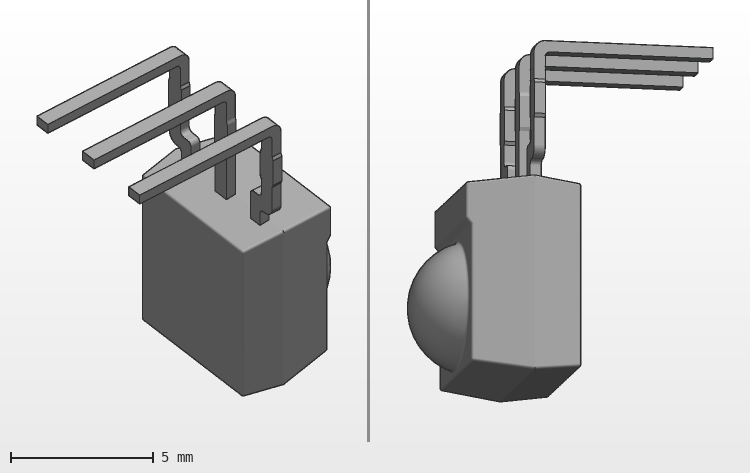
import cadquery as cq
import math


BODY_WIDTH = 6.0
BODY_HEIGHT = 6.95
FRONT_DEPTH = 1.7
BACK_DEPTH = 2.39
DRAFT_ANGLE = 7.0
EDGE_RADIUS = 0.1

RECESS_DEPTH = 0.19
RECESS_Y = BACK_DEPTH - RECESS_DEPTH
RECESS_TOP = 5.14
LEDGE_RISE = 0.24

DOME_TIP = 3.89
DOME_BLEND_RADIUS = 0.1
DOME_RADIUS = 2.36
DOME_HEIGHT = 2.7

LEAD_TOP = 11.78
LEAD_REACH = 6.4
LEAD_THICKNESS = 0.4
LEAD_PITCH = 2.53
LEAD_EMBED = 0.47
LEAD_FOOT = BODY_HEIGHT - LEAD_EMBED
BEND_OUTER_RADIUS = 0.4
BEND_INNER_RADIUS = 0.19
SIDE_LEAD_WIDTH = 0.6
CENTER_LEAD_WIDTH = 0.64

SHOULDER_BOTTOM = 9.04
SHOULDER_TOP = 10.4
SHOULDER_TAPER = 0.13
SHOULDER_WIDTH = 0.72

NECK_INNER_X = 1.64
NECK_WIDTH = 0.53
JOG_BOTTOM = 7.63
JOG_TOP = 8.22
JOG_OUTER_RADIUS = 0.4
JOG_SMALL_RADIUS = 0.19


def round_edge(solid, kind, point, radius):
    """Fillet the edge of the given kind that lies nearest to the point."""
    nearest = cq.selectors.NearestToPointSelector(point)
    return solid.edges(kind).edges(nearest).fillet(radius)


def half_body(depth):
    """Drafted block that narrows from the parting plane toward -Y."""
    return (
        cq.Workplane("XZ", origin=(0, 0, BODY_HEIGHT / 2))
        .rect(BODY_WIDTH, BODY_HEIGHT)
        .extrude(depth, taper=DRAFT_ANGLE)
    )


def front_half():
    """Half on the -Y side of the parting plane, rounded on every edge off that plane."""
    return half_body(FRONT_DEPTH).edges("not(>Y)").fillet(EDGE_RADIUS)


def back_half():
    """Half on the +Y side, stepped forward below a sloping ledge."""
    recess = (
        cq.Workplane("YZ")
        .polyline([
            (RECESS_Y, 0),
            (RECESS_Y, RECESS_TOP),
            (BACK_DEPTH, RECESS_TOP + LEDGE_RISE),
            (BACK_DEPTH, 0),
        ])
        .close()
        .extrude(BODY_WIDTH / 2, both=True)
    )
    block = half_body(BACK_DEPTH).mirror("XZ").cut(recess)
    return block.edges("not(<Y)").fillet(EDGE_RADIUS)


def dome():
    """Spherical lens, cut off at the parting plane inside the body."""
    center = (0, DOME_TIP - DOME_RADIUS, DOME_HEIGHT)
    ball = cq.Workplane("XY").sphere(DOME_RADIUS).translate(center)
    behind_parting = cq.Workplane("XY").box(
        BODY_WIDTH, DOME_TIP, BODY_HEIGHT, centered=(True, False, False)
    )
    return ball.intersect(behind_parting)


def bent_strip():
    """L-shaped sheet, rising from the body and folded toward -Y, wide enough for all leads."""
    sheet = (
        cq.Workplane("YZ")
        .polyline([
            (0, LEAD_FOOT),
            (0, LEAD_TOP),
            (-LEAD_REACH, LEAD_TOP),
            (-LEAD_REACH, LEAD_TOP - LEAD_THICKNESS),
            (-LEAD_THICKNESS, LEAD_TOP - LEAD_THICKNESS),
            (-LEAD_THICKNESS, LEAD_FOOT),
        ])
        .close()
        .extrude(BODY_WIDTH, both=True)
    )
    sheet = round_edge(sheet, "|X", (0, 0, LEAD_TOP), BEND_OUTER_RADIUS)
    inner_bend = (0, -LEAD_THICKNESS, LEAD_TOP - LEAD_THICKNESS)
    return round_edge(sheet, "|X", inner_bend, BEND_INNER_RADIUS)


def bar(x, width, bottom, top):
    """Upright block through the full reach of the leads, centred on x."""
    return cq.Workplane("XY", origin=(x, 0, bottom)).box(
        width, 2 * LEAD_REACH, top - bottom, centered=(True, True, False)
    )


def shoulder(x, lead_width):
    """Widened stretch of a lead, tapering to the lead width at both ends."""
    half_lead = lead_width / 2
    half_wide = SHOULDER_WIDTH / 2
    return (
        cq.Workplane("XZ", origin=(x, 0, 0))
        .polyline([
            (-half_lead, SHOULDER_BOTTOM),
            (-half_wide, SHOULDER_BOTTOM + SHOULDER_TAPER),
            (-half_wide, SHOULDER_TOP - SHOULDER_TAPER),
            (-half_lead, SHOULDER_TOP),
            (half_lead, SHOULDER_TOP),
            (half_wide, SHOULDER_TOP - SHOULDER_TAPER),
            (half_wide, SHOULDER_BOTTOM + SHOULDER_TAPER),
            (half_lead, SHOULDER_BOTTOM),
        ])
        .close()
        .extrude(LEAD_REACH, both=True)
    )


def center_lead():
    stem = bar(0, CENTER_LEAD_WIDTH, LEAD_FOOT, LEAD_TOP)
    return stem.union(shoulder(0, CENTER_LEAD_WIDTH)).intersect(bent_strip())


def side_lead():
    """Lead on the +X side, jogging inward to a narrow neck at the body."""
    inner = LEAD_PITCH - SIDE_LEAD_WIDTH / 2
    outer = LEAD_PITCH + SIDE_LEAD_WIDTH / 2
    neck_outer = NECK_INNER_X + NECK_WIDTH
    stem = (
        cq.Workplane("XZ")
        .polyline([
            (NECK_INNER_X, LEAD_FOOT),
            (NECK_INNER_X, JOG_TOP),
            (inner, JOG_TOP),
            (inner, LEAD_TOP),
            (outer, LEAD_TOP),
            (outer, JOG_BOTTOM),
            (neck_outer, JOG_BOTTOM),
            (neck_outer, LEAD_FOOT),
        ])
        .close()
        .extrude(LEAD_REACH, both=True)
    )
    for x, z, radius in [
        (NECK_INNER_X, JOG_TOP, JOG_SMALL_RADIUS),
        (inner, JOG_TOP, JOG_SMALL_RADIUS),
        (neck_outer, JOG_BOTTOM, JOG_SMALL_RADIUS),
        (outer, JOG_BOTTOM, JOG_OUTER_RADIUS),
    ]:
        stem = round_edge(stem, "|Y", (x, 0, z), radius)
    return stem.union(shoulder(LEAD_PITCH, SIDE_LEAD_WIDTH)).intersect(bent_strip())


def lens_half():
    """Back half with the dome blended into its recessed face."""
    seat_radius = math.sqrt(DOME_RADIUS**2 - (RECESS_Y - DOME_TIP + DOME_RADIUS) ** 2)
    seat_edge = (0, RECESS_Y, DOME_HEIGHT + seat_radius)
    return round_edge(back_half().union(dome()), "%CIRCLE", seat_edge, DOME_BLEND_RADIUS)


right_lead = side_lead()
result = (
    front_half()
    .union(lens_half())
    .union(center_lead())
    .union(right_lead)
    .union(right_lead.mirror("YZ"))
)